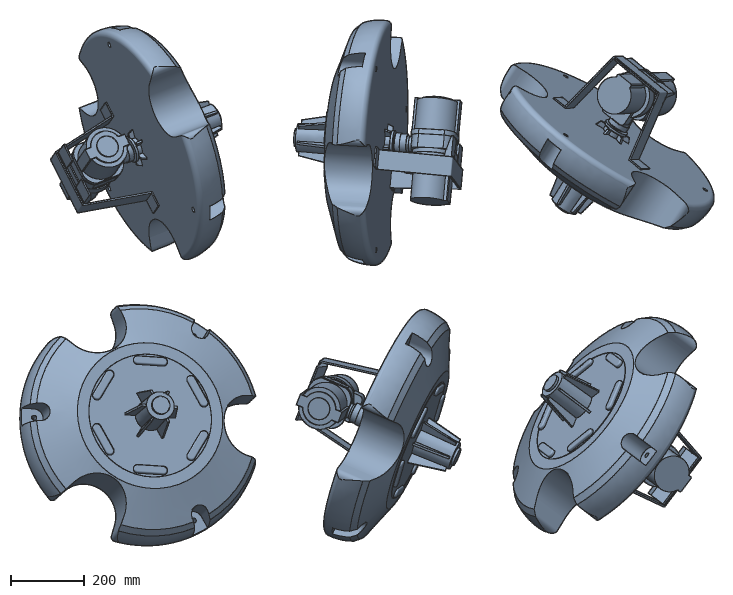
import cadquery as cq
import math


FLOAT_RADIUS = 335.0
FLOAT_HEIGHT = 134.0
BACK_FLAT_RADIUS = 204.5
CONE_END = (310.0, 94.5)
SHOULDER_END = (324.0, 78.5)
FRONT_ROUND = 16.0
BULGE_MIDDLE = (332.0, 52.0)
BITE_RADIUS = 85.0
BITE_CENTER_RADIUS = 293.5
BITE_CORNER_ROUND = 17.0
BITES = ((60, 17, 11), (180, 5, 8), (300, 14, 17))
HOLE_DIAMETER = 14.0
HOLE_CIRCLE_RADIUS = 299.0
SLOT_WIDTH = 49.5
SLOT_FLOOR = 31.5
SLOT_ANGLES = (0, 120, 240)

FLANGE_RADIUS = 172.0
FLANGE_THICKNESS = 1.5
PAD_LENGTH = 95.0
PAD_WIDTH = 23.5
PAD_HEIGHT = 9.5
PAD_EDGE_ROUND = 4.0
PAD_CIRCLE_RADIUS = 153.0
HUB_BASE_RADIUS = 42.0
HUB_TOP_RADIUS = 39.0
HUB_TOP = 245.0
HUB_CAP_DIAMETER = 49.5
HUB_CAP_TOP = 252.0
FIN_COUNT = 6
FIN_THICKNESS = 6.0
BACK_FIN_BASE_RADIUS = 71.0
BACK_FIN_TOP_RADIUS = 49.5
BACK_FIN_TOP = 238.5
FRONT_FIN_BASE_RADIUS = 52.0
FRONT_FIN_TIP_RADIUS = 45.5
FRONT_FIN_LENGTH = 15.0
FRONT_HUB_DIAMETER = 58.0
COLLAR_DIAMETER = 69.0
COLLAR_END = 22.0

DRIVE_TURN = 30.0
BRACKET_LENGTH = 325.0
BRACKET_WIDTH = 54.0
BRACKET_CENTER_Z = -72.5
BRACKET_DEPTH = 202.5
BRACKET_THICKNESS = 4.0
FOOT_BEND_X = 122.0
FRONT_BEND_X = 84.5
BEND_RADIUS = 3.5

MOTOR_Y = -132.0
MOTOR_DIAMETER = 116.0
MOTOR_BOTTOM = 33.0
MOTOR_TOP = 121.0
MOTOR_RIB_WIDTH = 31.5
MOTOR_RIB_REACH = 62.5
END_RING_DIAMETER = 92.0
END_RING_TOP = 127.0
END_CAP_DIAMETER = 60.0
END_CAP_TOP = 131.0
ADAPTER_BOTTOM = 19.0
ADAPTER_HALF_SIZES = (60.0, 62.0)
GEARBOX_HALF_SIZES = (57.5, 58.0)
SIDE_FLAT_HALF = 35.5
FRONT_FLAT_HALF = 28.0
CORNER_BULGE = 4.0
BOX_BOTTOM = -18.0
GEARBOX_BOTTOM = -40.0
BASE_DISC_DIAMETER = 123.5
BASE_DISC_TOP = -30.0
BASE_DISC_BOTTOM = -60.0
LOBE_WIDTH = 80.5
LOBE_REACH = 79.0
LOBE_BOTTOM = -74.0
LOBE_ROUND = 13.5
TAIL_DIAMETER = 101.0
TAIL_BOTTOM = -155.5
TAIL_RIB_WIDTH = 51.0
TAIL_RIB_CHAMFER = 3.0
TAIL_RIB_REACH = 55.0
MOUNT_INNER_X = 29.0
MOUNT_OUTER_X = 80.0
MOUNT_TOP = 15.0
MOUNT_BOTTOM = -96.5
MOUNT_EDGE = 5.0
MOUNT_THICKNESS = 22.0
BRIDGE_TOP = -18.0
SEAT_TOP = -41.0
FOOT_SETBACK = 2.0
BRIDGE_SETBACK = 4.0
SHAFT_STEPS = ((44.0, 26.0), (58.0, 41.0), (54.0, 58.0), (44.0, 64.5), (40.0, 80.5))


def turned(shape, angle):
    """Turn a shape about the Y axis; positive angles run from +X toward +Z."""
    return shape.rotate((0, 0, 0), (0, 1, 0), -angle)


def disc(diameter, y_start, y_end):
    """Cylinder on the Y axis between two heights."""
    return (
        cq.Workplane("XZ", origin=(0, y_start, 0))
        .circle(diameter / 2)
        .extrude(y_start - y_end)
    )


def rod(diameter, z_start, z_end):
    """Cylinder on the motor axis between two Z heights."""
    return (
        cq.Workplane("XY", origin=(0, MOTOR_Y, z_start))
        .circle(diameter / 2)
        .extrude(z_end - z_start)
    )


def block(x_range, y_range, z_range):
    """Box between two limits on each axis."""
    corner = (x_range[0], y_range[0], z_range[0])
    sides = (x_range[1] - x_range[0], y_range[1] - y_range[0], z_range[1] - z_range[0])
    return cq.Workplane("XY").box(*sides, centered=False).translate(corner)


def float_blank():
    """Revolved outline: flat back, cone, bulged rim and rounded front edge."""
    round_middle = FRONT_ROUND * (1 - math.sqrt(0.5))
    return (
        cq.Workplane("XY")
        .moveTo(0, 0)
        .lineTo(FLOAT_RADIUS - FRONT_ROUND, 0)
        .threePointArc((FLOAT_RADIUS - round_middle, round_middle), (FLOAT_RADIUS, FRONT_ROUND))
        .threePointArc(BULGE_MIDDLE, SHOULDER_END)
        .lineTo(*CONE_END)
        .lineTo(BACK_FLAT_RADIUS, FLOAT_HEIGHT)
        .lineTo(0, FLOAT_HEIGHT)
        .close()
        .revolve(360, (0, 0, 0), (0, 1, 0))
    )


def bite_wall(flare_degrees):
    """Points of one flared bite wall, on the +Z side, and of the round that rolls onto the rim.

    Returns the start and end of the flat wall, then the middle and end of the corner round.
    """
    flare = math.radians(flare_degrees)
    along = (math.cos(flare), math.sin(flare))
    into_wall = (-along[1], along[0])
    start = (
        BITE_CENTER_RADIUS + BITE_RADIUS * into_wall[0],
        BITE_RADIUS * into_wall[1],
    )
    offset_radius = BITE_RADIUS + BITE_CORNER_ROUND
    closest_x = BITE_CENTER_RADIUS + offset_radius * into_wall[0]
    closest_z = offset_radius * into_wall[1]
    center_distance = FLOAT_RADIUS - BITE_CORNER_ROUND
    projection = closest_x * along[0] + closest_z * along[1]
    gap = closest_x**2 + closest_z**2 - center_distance**2
    wall_length = math.sqrt(projection**2 - gap) - projection
    end = (start[0] + wall_length * along[0], start[1] + wall_length * along[1])
    center = (
        end[0] + BITE_CORNER_ROUND * into_wall[0],
        end[1] + BITE_CORNER_ROUND * into_wall[1],
    )
    rim_turn = math.atan2(center[1], center[0])
    wall_turn = flare - math.pi / 2
    middle_turn = (rim_turn + wall_turn) / 2
    round_middle = (
        center[0] + BITE_CORNER_ROUND * math.cos(middle_turn),
        center[1] + BITE_CORNER_ROUND * math.sin(middle_turn),
    )
    rim_point = (FLOAT_RADIUS * math.cos(rim_turn), FLOAT_RADIUS * math.sin(rim_turn))
    return start, end, round_middle, rim_point


def bite_cutter(lower_flare, upper_flare):
    """Round bite, open toward +X, with a flared and rounded wall on each side."""
    start, end, round_middle, rim_point = bite_wall(upper_flare)
    lower_points = [(x, -z) for x, z in bite_wall(lower_flare)]
    lower_start, lower_end, lower_middle, lower_rim = lower_points
    outside_x = FLOAT_RADIUS + BITE_RADIUS
    return (
        cq.Workplane("XZ")
        .moveTo(*start)
        .lineTo(*end)
        .threePointArc(round_middle, rim_point)
        .lineTo(outside_x, rim_point[1])
        .lineTo(outside_x, lower_rim[1])
        .lineTo(*lower_rim)
        .threePointArc(lower_middle, lower_end)
        .lineTo(*lower_start)
        .threePointArc((BITE_CENTER_RADIUS - BITE_RADIUS, 0), start)
        .close()
        .extrude(-FLOAT_HEIGHT)
    )


def slot_cutter():
    """Round-ended slot open to the rim and the back, with a small hole through its floor."""
    end = disc(SLOT_WIDTH, SLOT_FLOOR, FLOAT_HEIGHT).translate((HOLE_CIRCLE_RADIUS, 0, 0))
    mouth = block(
        (HOLE_CIRCLE_RADIUS, FLOAT_RADIUS + SLOT_WIDTH),
        (SLOT_FLOOR, FLOAT_HEIGHT),
        (-SLOT_WIDTH / 2, SLOT_WIDTH / 2),
    )
    hole = disc(HOLE_DIAMETER, 0, FLOAT_HEIGHT).translate((HOLE_CIRCLE_RADIUS, 0, 0))
    return end.union(mouth).union(hole)


def hub_fin():
    """Flat fin toward +X that tapers away from the float on both of its sides."""
    return (
        cq.Workplane("XY", origin=(0, 0, -FIN_THICKNESS / 2))
        .moveTo(0, -FRONT_FIN_LENGTH)
        .lineTo(FRONT_FIN_TIP_RADIUS, -FRONT_FIN_LENGTH)
        .lineTo(FRONT_FIN_BASE_RADIUS, 0)
        .lineTo(BACK_FIN_BASE_RADIUS, FLOAT_HEIGHT)
        .lineTo(BACK_FIN_TOP_RADIUS, BACK_FIN_TOP)
        .lineTo(0, BACK_FIN_TOP)
        .close()
        .extrude(FIN_THICKNESS)
    )


def hub_pad():
    """Round-ended pad on the back flange, long way across the radius."""
    return (
        cq.Workplane("XZ", origin=(PAD_CIRCLE_RADIUS, FLOAT_HEIGHT, 0))
        .slot2D(PAD_LENGTH, PAD_WIDTH, 90)
        .extrude(-PAD_HEIGHT)
        .faces(">Y")
        .edges()
        .fillet(PAD_EDGE_ROUND)
    )


def hub():
    """Finned hub with its back flange, pads, end cap and front collar."""
    cone = (
        cq.Workplane("XY")
        .polyline([
            (0, FLOAT_HEIGHT),
            (HUB_BASE_RADIUS, FLOAT_HEIGHT),
            (HUB_TOP_RADIUS, HUB_TOP),
            (0, HUB_TOP),
        ])
        .close()
        .revolve(360, (0, 0, 0), (0, 1, 0))
    )
    body = cone.union(disc(2 * FLANGE_RADIUS, FLOAT_HEIGHT, FLOAT_HEIGHT + FLANGE_THICKNESS))
    body = body.union(disc(HUB_CAP_DIAMETER, HUB_TOP, HUB_CAP_TOP))
    body = body.union(disc(FRONT_HUB_DIAMETER, FLOAT_HEIGHT, -FRONT_FIN_LENGTH))
    body = body.union(disc(COLLAR_DIAMETER, -FRONT_FIN_LENGTH, -COLLAR_END))
    step = 360 / FIN_COUNT
    for index in range(FIN_COUNT):
        body = body.union(turned(hub_fin(), index * step))
        body = body.union(turned(hub_pad(), (index + 0.5) * step))
    return body


def finned_float():
    """Float with its three bites, three rim slots and the hub."""
    body = float_blank()
    for angle, lower_flare, upper_flare in BITES:
        body = body.cut(turned(bite_cutter(lower_flare, upper_flare), angle))
    for angle in SLOT_ANGLES:
        body = body.cut(turned(slot_cutter(), angle))
    return body.union(hub())


def strap_bracket():
    """Bent strap with a front plate, two sloping legs and two feet on the float."""
    half_length = BRACKET_LENGTH / 2
    inner_y = BRACKET_THICKNESS - BRACKET_DEPTH
    outer_half = [
        (half_length, 0),
        (half_length, -BRACKET_THICKNESS),
        (FOOT_BEND_X, -BRACKET_THICKNESS),
        (FRONT_BEND_X, -BRACKET_DEPTH),
    ]
    inner_half = [
        (FRONT_BEND_X - BRACKET_THICKNESS, inner_y),
        (FOOT_BEND_X - BRACKET_THICKNESS, 0),
    ]
    mirrored_outer = [(-x, y) for x, y in reversed(outer_half)]
    mirrored_inner = [(-x, y) for x, y in reversed(inner_half)]
    outline = outer_half + mirrored_outer + mirrored_inner + inner_half
    strap = (
        cq.Workplane("XY", origin=(0, 0, BRACKET_CENTER_Z - BRACKET_WIDTH / 2))
        .polyline(outline)
        .close()
        .extrude(BRACKET_WIDTH)
    )
    strap = strap.edges("|Z and <Y").fillet(BEND_RADIUS)
    return turned(strap, -DRIVE_TURN)


def flatted_section(half_sizes, z_start, z_end):
    """Housing with four flat sides and arched corners around the motor axis."""
    half_x, half_y = half_sizes
    quarters = ((1, 1), (-1, 1), (-1, -1), (1, -1))
    outline = cq.Workplane("XY", origin=(0, MOTOR_Y, z_start)).moveTo(half_x, -SIDE_FLAT_HALF)
    middle_x = (half_x + FRONT_FLAT_HALF) / 2 + CORNER_BULGE
    middle_y = (half_y + SIDE_FLAT_HALF) / 2 + CORNER_BULGE
    for x_sign, y_sign in quarters:
        side_point = (x_sign * half_x, y_sign * SIDE_FLAT_HALF)
        front_point = (x_sign * FRONT_FLAT_HALF, y_sign * half_y)
        middle = (x_sign * middle_x, y_sign * middle_y)
        starts_at_side = x_sign == y_sign
        start = side_point if starts_at_side else front_point
        end = front_point if starts_at_side else side_point
        outline = outline.lineTo(*start).threePointArc(middle, end)
    return outline.close().extrude(z_end - z_start)


def motor():
    """Motor barrel with two flat ribs, stepped end and the adapter below it."""
    half_rib = MOTOR_RIB_WIDTH / 2
    ribs = block(
        (-half_rib, half_rib),
        (MOTOR_Y - MOTOR_RIB_REACH, MOTOR_Y + MOTOR_RIB_REACH),
        (MOTOR_BOTTOM, END_RING_TOP),
    )
    body = rod(MOTOR_DIAMETER, MOTOR_BOTTOM, MOTOR_TOP).union(ribs)
    body = body.union(rod(END_RING_DIAMETER, MOTOR_TOP, END_RING_TOP))
    body = body.union(rod(END_CAP_DIAMETER, END_RING_TOP, END_CAP_TOP))
    return body.union(flatted_section(ADAPTER_HALF_SIZES, ADAPTER_BOTTOM, MOTOR_BOTTOM))


def gearbox():
    """Flat-sided housing, round base with its rear lobe, and the ribbed tail below."""
    body = flatted_section(GEARBOX_HALF_SIZES, BOX_BOTTOM, ADAPTER_BOTTOM)
    body = body.union(rod(MOTOR_DIAMETER, BASE_DISC_TOP, BOX_BOTTOM))
    body = body.union(rod(BASE_DISC_DIAMETER, BASE_DISC_BOTTOM, BASE_DISC_TOP))
    lobe = block(
        (-LOBE_WIDTH / 2, LOBE_WIDTH / 2),
        (MOTOR_Y, MOTOR_Y + LOBE_REACH),
        (LOBE_BOTTOM, GEARBOX_BOTTOM),
    )
    lobe = lobe.edges(">Y and |Z").fillet(LOBE_ROUND)
    tail = rod(TAIL_DIAMETER, TAIL_BOTTOM, GEARBOX_BOTTOM)
    tail_rib = block(
        (-TAIL_RIB_WIDTH / 2, TAIL_RIB_WIDTH / 2),
        (MOTOR_Y - TAIL_RIB_REACH, MOTOR_Y),
        (TAIL_BOTTOM, GEARBOX_BOTTOM),
    )
    tail_rib = tail_rib.edges("<Y and |Z").chamfer(TAIL_RIB_CHAMFER)
    return body.union(lobe).union(tail).union(tail_rib)


def mount():
    """Seat on the bracket plate, two wedge-shaped feet above it and a bridge between them."""
    seat_y = BRACKET_THICKNESS - BRACKET_DEPTH
    foot_y = seat_y + FOOT_SETBACK
    back_y = seat_y + MOUNT_THICKNESS
    wedge = (
        cq.Workplane("YZ", origin=(-MOUNT_OUTER_X, 0, 0))
        .polyline([
            (foot_y, MOUNT_TOP),
            (foot_y + MOUNT_EDGE, MOUNT_TOP),
            (back_y, GEARBOX_BOTTOM),
            (seat_y + MOUNT_EDGE, MOUNT_BOTTOM),
            (seat_y, MOUNT_BOTTOM),
            (seat_y, SEAT_TOP),
            (foot_y, SEAT_TOP),
        ])
        .close()
        .extrude(2 * MOUNT_OUTER_X)
    )
    inner_x_range = (-MOUNT_INNER_X, MOUNT_INNER_X)
    gap = block(inner_x_range, (foot_y, back_y), (BRIDGE_TOP, MOUNT_TOP))
    bridge_recess = block(
        inner_x_range, (seat_y, seat_y + BRIDGE_SETBACK), (SEAT_TOP, BRIDGE_TOP)
    )
    return wedge.cut(gap).cut(bridge_recess)


def output_shaft():
    """Stepped shaft from the hub collar into the gearbox."""
    start = COLLAR_END
    shaft = cq.Workplane("XZ")
    for diameter, end in SHAFT_STEPS:
        shaft = shaft.union(disc(diameter, -start, -end))
        start = end
    return shaft


def gearmotor():
    """Motor, gearbox, mounting feet and output shaft as one body."""
    body = motor().union(gearbox()).union(mount()).union(output_shaft())
    return turned(body, -DRIVE_TURN)


float_body = finned_float()
bracket = strap_bracket()
drive = gearmotor()

result = cq.Compound.makeCompound([float_body.val(), bracket.val(), drive.val()])